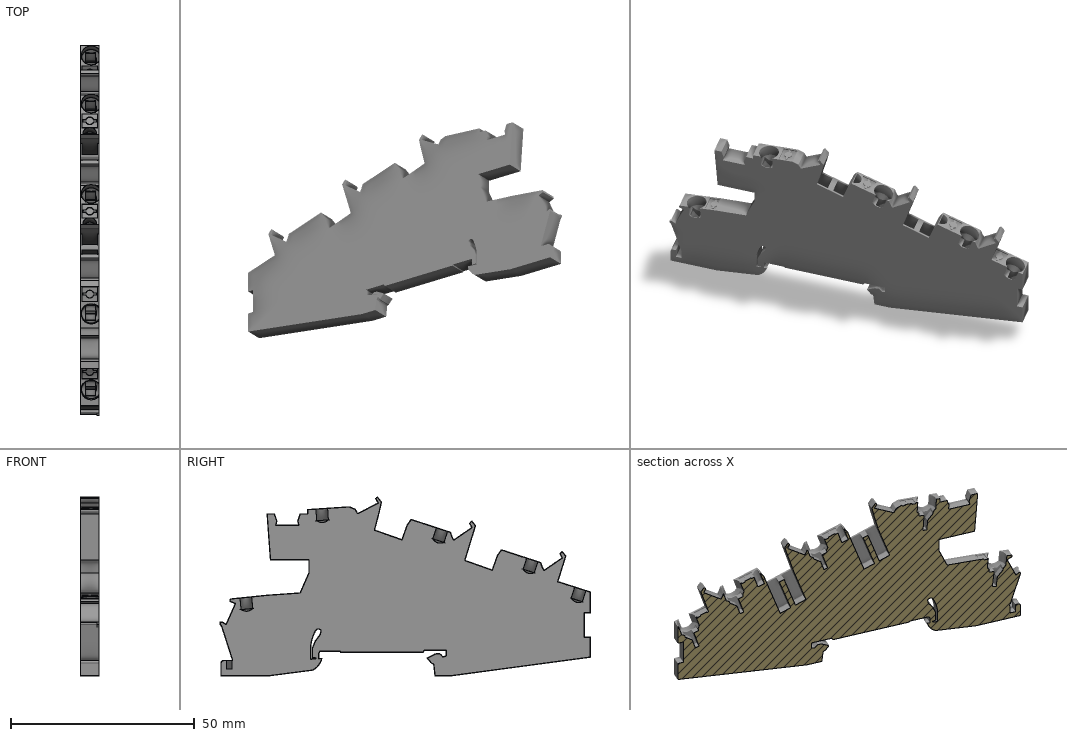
import cadquery as cq
import math

THICKNESS = 5.15
LENGTH = 100.9
HEIGHT = 48.69

LEVEL_STEP = (24.6, 8.27)
LEVEL_COUNT = 2
FIRST_HOOK_TIP = (6.7, 32.62)
REAR_EDGE_TOP = (0.0, 22.83)
FIRST_HOOK_FOOT = (8.88, 25.67)

HOOK_BEAD = [(1.0, 1.25), (1.62, 0.66), (1.0, -0.5)]
HOOK_VALLEY = (5.95, -3.9)
BLOCK_BASE = (6.4, -3.04)
BLOCK_CORNER = (6.84, -1.78)
BLOCK_PEAK = (17.55, 1.72)
BLOCK_SHOULDER = (18.66, 0.15)
FLOOR_SLOPE = 0.354
FLOOR_DROP = 3.96
FLOOR_RUN = 7.44
FLOOR_START = (BLOCK_SHOULDER[0] + FLOOR_DROP * FLOOR_SLOPE, BLOCK_SHOULDER[1] - FLOOR_DROP)
NEXT_HOOK_FOOT = (FLOOR_START[0] + FLOOR_RUN, FLOOR_START[1] + FLOOR_RUN * FLOOR_SLOPE)

TOP_HOOK = [(57.53, 44.6), (56.92, 47.33), (58.0, HEIGHT), (58.54, 48.3), (57.83, 47.1)]
TOP_BLOCK_REAR = [(63.41, 44.18), (64.1, 45.4)]
TOP_BLOCK_PEAK = (65.75, 46.06)
TOP_BLOCK_FRONT = (77.06, 45.3)
GROOVE_SHELF = 44.13
GROOVE_FLOOR = 41.09
GROOVE_THROAT = 42.2
UPRIGHT = [
    (TOP_BLOCK_FRONT[0], GROOVE_SHELF),
    (79.09, GROOVE_SHELF),
    (79.75, GROOVE_THROAT),
    (79.49, GROOVE_FLOOR),
    (85.68, GROOVE_FLOOR),
    (85.43, GROOVE_THROAT),
    (86.09, GROOVE_SHELF),
    (88.12, GROOVE_SHELF),
    (87.2, 31.6),
    (76.7, 31.6),
    (76.7, 28.05),
]

LOW_BLOCK_REAR = (79.09, 22.6)
LOW_BLOCK_BEND = (88.0, 21.98)
LOW_BLOCK_FRONT = (98.11, 20.95)
FRONT_REACH = 100.65
FRONT_FOOT_HEIGHT = 4.2
FRONT_FOOT_RADIUS = 0.75
FRONT_EDGE = [
    (98.26, 20.29),
    (96.74, 19.68),
    (99.28, 14.0),
    (100.2, 14.6),
    (FRONT_REACH, 14.5),
    (FRONT_REACH, 14.0),
    (97.5, FRONT_FOOT_HEIGHT),
]
FRONT_FOOT_TOP = (FRONT_REACH - FRONT_FOOT_RADIUS, FRONT_FOOT_HEIGHT)
ROUND_INSET = FRONT_FOOT_RADIUS * (1 - math.sqrt(0.5))
FRONT_FOOT_ROUND = (FRONT_REACH - ROUND_INSET, FRONT_FOOT_HEIGHT - ROUND_INSET)
FRONT_FOOT_BASE = [
    (FRONT_REACH, FRONT_FOOT_HEIGHT - FRONT_FOOT_RADIUS),
    (FRONT_REACH, 0.0),
    (87.46, 0.0),
]

STOP_WIDTH = 0.6
STOP_REAR = 100.2
STOP_TOP = 14.6
STOP = [(STOP_REAR, STOP_TOP), (LENGTH, STOP_TOP), (LENGTH, 14.0), (STOP_REAR, 13.0)]

FOOT_NOTCH_SKIN = 0.5
FOOT_NOTCH_FLOOR = 1.8
FOOT_NOTCH_REAR = 97.6
FOOT_NOTCH_FRONT = 99.1
FOOT_NOTCH_TOP = FRONT_FOOT_HEIGHT + 0.2
FOOT_NOTCH = [
    (FOOT_NOTCH_REAR, FOOT_NOTCH_FLOOR),
    (FOOT_NOTCH_FRONT, FOOT_NOTCH_FLOOR),
    (FOOT_NOTCH_FRONT, FOOT_NOTCH_TOP),
    (FOOT_NOTCH_REAR, FOOT_NOTCH_TOP),
]

TOE_START = (75.69, 1.52)
TOE_MID = (74.2, 2.7)
TOE_END = (73.15, 4.77)
SLIT_MOUTH = [(74.62, 4.67), (76.14, 4.57), (76.14, 8.42)]
SLIT_FRONT_MID = (75.75, 10.2)
SLIT_FRONT_TOP = (74.77, 12.48)
SLIT_TOP = (74.06, 12.73)
SLIT_REAR_TOP = (73.4, 12.33)
SLIT_REAR = [(73.66, 11.21), (74.93, 9.54), (75.74, 7.66), (75.74, 4.92), (74.62, 4.82)]

RAIL_OPENING = [(74.62, 6.65), (68.18, 6.65), (68.08, 6.39), (45.55, 6.39), (45.25, 6.95), (39.31, 6.95)]
REAR_FOOT = [(39.31, 5.43), (43.07, 4.36), (43.22, 3.7), (42.71, 3.09), (42.36, 0.0), (37.89, 0.0)]
REAR_EDGE = [(0.0, 5.07), (0.0, 10.55), (1.62, 10.55), (1.62, 17.15), (0.0, 17.15)]

SET_BACK = 1.0
RAIL_NIB = [
    (40.0, 5.0),
    (41.09, 6.09),
    (42.21, 5.99),
    (44.49, 4.82),
    (43.22, 3.35),
    (42.5, 3.35),
]
GAP_FILLER = [(73.66, 6.8), (74.8, 6.8), (74.8, 4.5), (74.01, 4.5), (74.01, 5.99)]

BORE_RADIUS = 2.7
BORE_DEPTH = 3.2
BORE_OFFSET_X = 0.4
CONE_DEPTH = 1.4
CONE_END_RADIUS = 1.5
FUNNEL_FLOOR = BORE_DEPTH + CONE_DEPTH
FUNNEL_OFFSET_X = 0.15
FUNNEL_WIDTH = 2.7
FUNNEL_HALF_LENGTH = 2.0
PIT_HALF_LENGTH = 0.5
RAMP_DROP = 2.0
PIT_DEPTH = 5.0
REAR_BORE_U = 2.75
LEVEL_BORE_U = 15.83
TOP_BORE_U = 73.2
LOW_BORE_U = 93.9

MARK_LENGTH = 3.95
MARK_WIDTH = 4.1
MARK_DEPTH = 0.3
DISC_RADIUS = 1.05
BAR_LENGTH = 0.6
BAR_WIDTH = 3.6
REAR_MARK_U = 7.5
LEVEL_MARK_U = 20.55
TOP_MARK_U = 67.8
LOW_MARK_U = 88.9

TEST_POCKET_RADIUS = 1.85
TEST_POCKET_DEPTH = 4.0
TEST_POCKET_WALL = 0.15

SLOT_WIDTH = 4.15
SLOT_LENGTH = 3.15
SLOT_DEPTH = 10.0

CLEARANCE = 1.0


def add(point, shift):
    return (point[0] + shift[0], point[1] + shift[1])


def level_point(index, point):
    """A level's point, given from its hook tip, as a (u, z) outline point."""
    tip = (FIRST_HOOK_TIP[0] + index * LEVEL_STEP[0], FIRST_HOOK_TIP[1] + index * LEVEL_STEP[1])
    return add(point, tip)


def to_plate(point):
    """Outline point (u, z) as local (Y, Z), with the plate centred on Y."""
    return (LENGTH / 2 - point[0], point[1])


def plate_points(points):
    return [to_plate(point) for point in points]


def plate_plane(x):
    return cq.Workplane("YZ", origin=(x, 0, 0))


def extrude_outline(points, x_start):
    outline = plate_plane(x_start).polyline(plate_points(points)).close()
    return outline.extrude(THICKNESS / 2 - x_start)


def stepped_edge():
    points = [REAR_EDGE_TOP, FIRST_HOOK_FOOT]
    level = [(0, 0), *HOOK_BEAD, HOOK_VALLEY, BLOCK_BASE, BLOCK_CORNER]
    level += [BLOCK_PEAK, BLOCK_SHOULDER, FLOOR_START, NEXT_HOOK_FOOT]
    for index in range(LEVEL_COUNT):
        points += [level_point(index, point) for point in level]
    return points


def housing_plate():
    upper = stepped_edge() + TOP_HOOK + TOP_BLOCK_REAR + [TOP_BLOCK_PEAK, TOP_BLOCK_FRONT]
    upper += UPRIGHT + [LOW_BLOCK_REAR, LOW_BLOCK_BEND, LOW_BLOCK_FRONT] + FRONT_EDGE
    upper += [FRONT_FOOT_TOP]
    outline = plate_plane(-THICKNESS / 2).polyline(plate_points(upper))
    outline = outline.threePointArc(to_plate(FRONT_FOOT_ROUND), to_plate(FRONT_FOOT_BASE[0]))
    outline = outline.polyline(plate_points(FRONT_FOOT_BASE[1:] + [TOE_START]), includeCurrent=True)
    outline = outline.threePointArc(to_plate(TOE_MID), to_plate(TOE_END))
    outline = outline.polyline(plate_points(SLIT_MOUTH), includeCurrent=True)
    outline = outline.threePointArc(to_plate(SLIT_FRONT_MID), to_plate(SLIT_FRONT_TOP))
    outline = outline.threePointArc(to_plate(SLIT_TOP), to_plate(SLIT_REAR_TOP))
    lower = SLIT_REAR + RAIL_OPENING + REAR_FOOT + REAR_EDGE
    outline = outline.polyline(plate_points(lower), includeCurrent=True)
    return outline.close().extrude(THICKNESS)


class Face:
    """A straight stretch of the outline, used to place features square to it."""

    def __init__(self, start, end):
        self.start = start
        self.slope = (end[1] - start[1]) / (end[0] - start[0])

    def frame(self, u):
        """Workplane on the face at u: local x is X, local y points rearward, z outward."""
        y, z = to_plate((u, self.start[1] + self.slope * (u - self.start[0])))
        return cq.Workplane(cq.Plane(origin=(0, y, z), xDir=(1, 0, 0), normal=(0, self.slope, 1)))

    def along(self, length):
        """Extent in u of a length measured along the face."""
        return length * math.cos(math.atan(self.slope))


def bore_and_cone(plane):
    profile = [
        (0, CLEARANCE),
        (BORE_RADIUS, CLEARANCE),
        (BORE_RADIUS, -BORE_DEPTH),
        (CONE_END_RADIUS, -FUNNEL_FLOOR),
        (0, -FUNNEL_FLOOR),
    ]
    section = cq.Plane(plane.toWorldCoords((BORE_OFFSET_X, 0, 0)), plane.xDir, -plane.yDir)
    return cq.Workplane(section).polyline(profile).close().revolve(360, (0, 0), (0, 1))


def funnel_and_pit(plane, ramp_side):
    profile = [
        (-PIT_HALF_LENGTH * ramp_side, -FUNNEL_FLOOR),
        (-FUNNEL_HALF_LENGTH * ramp_side, -FUNNEL_FLOOR),
        (-FUNNEL_HALF_LENGTH * ramp_side, -BORE_DEPTH),
        (FUNNEL_HALF_LENGTH * ramp_side, -BORE_DEPTH),
        (FUNNEL_HALF_LENGTH * ramp_side, -FUNNEL_FLOOR),
        (PIT_HALF_LENGTH * ramp_side, -FUNNEL_FLOOR - RAMP_DROP),
        (PIT_HALF_LENGTH * ramp_side, -FUNNEL_FLOOR - PIT_DEPTH),
        (-PIT_HALF_LENGTH * ramp_side, -FUNNEL_FLOOR - PIT_DEPTH),
    ]
    section = cq.Plane(plane.toWorldCoords((FUNNEL_OFFSET_X, 0, 0)), plane.yDir, plane.xDir)
    return cq.Workplane(section).polyline(profile).close().extrude(FUNNEL_WIDTH / 2, both=True)


def wire_entry(face, u, ramp_side):
    """ramp_side is 1 for a ramp at the rear of the funnel, -1 for one at its front."""
    plane = face.frame(u).plane
    return bore_and_cone(plane).union(funnel_and_pit(plane, ramp_side))


def mark_recess(face, u, u_min, u_max):
    """Recess centred at u, kept between u_min and u_max."""
    half = face.along(MARK_LENGTH) / 2
    start = max(u - half, u_min)
    end = min(u + half, u_max)
    length = (end - start) / face.along(1)
    recess = face.frame((start + end) / 2).rect(MARK_WIDTH, length).extrude(-MARK_DEPTH)
    disc = face.frame(u).circle(DISC_RADIUS).extrude(-MARK_DEPTH)
    bar = face.frame(u).rect(BAR_WIDTH, BAR_LENGTH).extrude(-MARK_DEPTH)
    return recess.cut(disc).cut(bar)


def test_pocket(face, peak_u):
    front_u = peak_u - TEST_POCKET_WALL
    frame = face.frame(front_u)
    half_round = frame.moveTo(-TEST_POCKET_RADIUS, 0)
    half_round = half_round.threePointArc((0, TEST_POCKET_RADIUS), (TEST_POCKET_RADIUS, 0)).close()
    return half_round.extrude(-TEST_POCKET_DEPTH)


def floor_slots(face, start_u, end_u):
    half = face.along(SLOT_LENGTH) / 2
    slots = [
        face.frame(u).rect(SLOT_WIDTH, SLOT_LENGTH).extrude(-SLOT_DEPTH)
        for u in (start_u + half, end_u - half)
    ]
    return slots[0].union(slots[1])


def rear_features():
    face = Face(REAR_EDGE_TOP, FIRST_HOOK_FOOT)
    return [
        wire_entry(face, REAR_BORE_U, 1),
        mark_recess(face, REAR_MARK_U, 0, FIRST_HOOK_FOOT[0]),
    ]


def level_features(index):
    shift = index * LEVEL_STEP[0]
    peak = level_point(index, BLOCK_PEAK)
    block = Face(level_point(index, BLOCK_CORNER), peak)
    floor_start = level_point(index, FLOOR_START)
    floor_end = level_point(index, NEXT_HOOK_FOOT)
    floor = Face(floor_start, floor_end)
    return [
        wire_entry(block, LEVEL_BORE_U + shift, 1),
        mark_recess(block, LEVEL_MARK_U + shift, 0, peak[0]),
        test_pocket(block, peak[0]),
        floor_slots(floor, floor_start[0], floor_end[0]),
    ]


def front_features():
    top = Face(TOP_BLOCK_PEAK, TOP_BLOCK_FRONT)
    low = Face(LOW_BLOCK_BEND, LOW_BLOCK_FRONT)
    return [
        wire_entry(top, TOP_BORE_U, -1),
        mark_recess(top, TOP_MARK_U, 0, LENGTH),
        wire_entry(low, LOW_BORE_U, -1),
        mark_recess(low, LOW_MARK_U, LOW_BLOCK_BEND[0], LENGTH),
    ]


body = housing_plate()
for set_back_outline in (RAIL_NIB, GAP_FILLER):
    body = body.union(extrude_outline(set_back_outline, -THICKNESS / 2 + SET_BACK))

body = body.union(extrude_outline(STOP, THICKNESS / 2 - STOP_WIDTH))

cutters = rear_features() + front_features()
cutters.append(extrude_outline(FOOT_NOTCH, -THICKNESS / 2 + FOOT_NOTCH_SKIN))
for level_index in range(LEVEL_COUNT):
    cutters += level_features(level_index)
for cutter in cutters:
    body = body.cut(cutter)

result = body